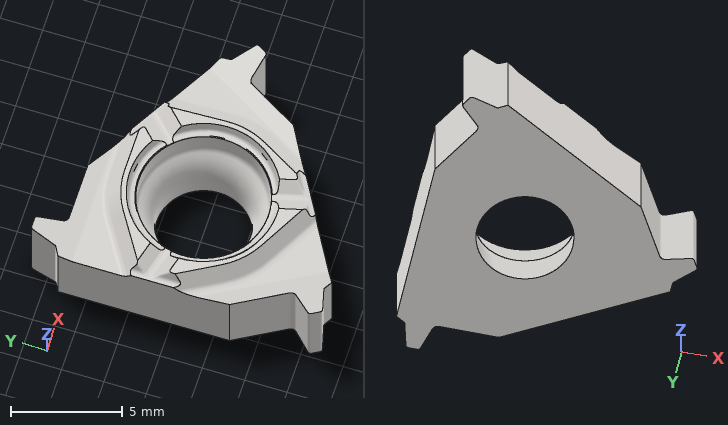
import cadquery as cq
import math

height = 4.2
arms = 3
arm_step = 360 / arms
face_distance = 4.74
body_reach = 8.25
side_angle = 30.0

tip_y = 6.88
tooth_x = -3.65
tip_half_width = 0.32
flank_angle = 15.0
shoulder_y = face_distance / math.cos(math.radians(side_angle))
relief_y = 5.36
relief_angle = 30.0
tip_radius = 0.15
root_radius = 0.27
relief_root_radius = 0.1

floor_z = 3.42
rake_angle = 15.0
rake_start = 4.71
rake_blend_radius = 0.48

island_radius = 3.72
island_slope = 50.0
island_foot_radius = 0.41
island_arc_angle = 32.0

ledge_z = 3.71
ledge_depth = 0.45
ledge_radius = 0.27
ledge_wall_angle = 65.0

groove_angle = 165.0
groove_bottom_z = 3.72
groove_offset = 0.1
groove_bottom_half_width = 0.15
groove_half_width = 0.74
groove_radius = 0.27
groove_mouth_radius = 0.14

bore_radius = 2.2
seat_start_z = 0.89
seat_angle = 49.0
well_radius = 3.05
well_blend_radius = 0.48
rim_z = 3.75
rim_wall_angle = 70.0
rim_fillet_radius = 0.22
rim_edge_radius = 0.04
rim_top_radius = 3.48


def turned(shape, angle):
    return shape.rotate((0, 0, 0), (0, 0, 1), angle)


def around(shape):
    """Three copies of a shape about the axis."""
    group = shape
    for i in range(1, arms):
        group = group.union(turned(shape, i * arm_step))
    return group


def arm_plate():
    """Full-height plate of one arm, from the axis to the tooth tip."""
    flank = math.tan(math.radians(flank_angle))
    relief = math.tan(math.radians(relief_angle))
    right_root_x = tooth_x + tip_half_width + flank * (tip_y - shoulder_y)
    left_tip_x = tooth_x - tip_half_width
    rise = tip_y - relief_y
    left_root_run = (left_tip_x - flank * rise + face_distance) / (1 - flank * relief)
    left_root = (-face_distance + left_root_run, relief_y + relief * left_root_run)
    tip_left = (left_tip_x, tip_y)
    tip_right = (tooth_x + tip_half_width, tip_y)
    right_root = (right_root_x, shoulder_y)
    neighbour = math.radians(90 + arm_step)
    lower_corner = (shoulder_y * math.cos(neighbour), shoulder_y * math.sin(neighbour))
    outline = [
        (0, 0), lower_corner, (-face_distance, relief_y), left_root,
        tip_left, tip_right, right_root, (0, shoulder_y),
    ]
    plate = cq.Workplane("XY").polyline(outline).close().extrude(height)
    for corner, radius in (
        (tip_left, tip_radius),
        (tip_right, tip_radius),
        (left_root, relief_root_radius),
        (right_root, root_radius),
    ):
        nearest = cq.selectors.NearestToPointSelector((*corner, height / 2))
        plate = plate.edges("|Z").edges(nearest).fillet(radius)
    return plate


def island_side_profile(plane):
    """Section of the space outside the island: slope, foot radius and floor."""
    slope = math.radians(island_slope)
    foot_corner = island_radius + (height - floor_z) / math.tan(slope)
    tangent = island_foot_radius * math.tan(slope / 2)
    slope_end = (
        foot_corner - tangent * math.cos(slope),
        floor_z + tangent * math.sin(slope),
    )
    foot_end = (foot_corner + tangent, floor_z)
    half = slope / 2
    foot_mid = (
        foot_end[0] - island_foot_radius * math.sin(half),
        floor_z + island_foot_radius * (1 - math.cos(half)),
    )
    return (
        cq.Workplane(plane)
        .moveTo(island_radius, height)
        .lineTo(*slope_end)
        .threePointArc(foot_mid, foot_end)
        .lineTo(body_reach, floor_z)
        .lineTo(body_reach, height)
        .close()
    )


def rake_block():
    """Material kept under the rake face of one arm."""
    rake = math.radians(rake_angle)
    tangent = rake_blend_radius * math.tan(rake / 2)
    blend_start = rake_start - tangent
    half = rake / 2
    blend_mid = (
        blend_start + rake_blend_radius * math.sin(half),
        floor_z + rake_blend_radius * (1 - math.cos(half)),
    )
    blend_end = (rake_start + tangent * math.cos(rake), floor_z + tangent * math.sin(rake))
    rake_end_z = floor_z + (body_reach - rake_start) * math.tan(rake)
    return (
        cq.Workplane("YZ")
        .moveTo(blend_start, floor_z)
        .threePointArc(blend_mid, blend_end)
        .lineTo(body_reach, rake_end_z)
        .lineTo(body_reach, 0)
        .lineTo(blend_start, 0)
        .close()
        .extrude(body_reach, both=True)
    )


def arm_relief():
    """Space removed above one arm, outside the island."""
    radial = cq.Plane(origin=(0, 0, 0), xDir=(0, 1, 0), normal=(1, 0, 0))
    straight = island_side_profile(radial).extrude(body_reach / 2)
    rounded = island_side_profile(radial).revolve(island_arc_angle, (0, 0, 0), (0, 1, 0))
    trailing = turned(island_side_profile(radial).extrude(-body_reach / 2), island_arc_angle)
    return straight.union(rounded).union(trailing).cut(rake_block())


def side_ledge():
    """Ledge along the -X side face, blended into a steep back wall."""
    wall = math.radians(ledge_wall_angle)
    top_x = -face_distance + ledge_depth
    corner_x = top_x - (height - ledge_z) / math.tan(wall)
    tangent = ledge_radius * math.tan(wall / 2)
    half = wall / 2
    start = (corner_x - tangent, ledge_z)
    middle = (
        start[0] + ledge_radius * math.sin(half),
        ledge_z + ledge_radius * (1 - math.cos(half)),
    )
    end = (corner_x + tangent * math.cos(wall), ledge_z + tangent * math.sin(wall))
    return (
        cq.Workplane("XZ")
        .moveTo(-body_reach, ledge_z)
        .lineTo(*start)
        .threePointArc(middle, end)
        .lineTo(top_x, height)
        .lineTo(-body_reach, height)
        .close()
        .extrude(island_radius, both=True)
    )


def radial_groove():
    """Groove from the bore out through the middle of one side of the island."""
    groove = (
        cq.Workplane("YZ")
        .polyline([
            (-groove_half_width, height),
            (-groove_bottom_half_width, groove_bottom_z),
            (groove_bottom_half_width, groove_bottom_z),
            (groove_half_width, height),
        ])
        .close()
        .extrude(body_reach)
        .translate((0, groove_offset, 0))
        .edges("|X and <Z")
        .fillet(groove_radius)
    )
    return turned(groove, groove_angle)


def screw_hole():
    """Revolved bore, curved seat, well and recessed rim."""
    angle = math.radians(seat_angle)
    blend_centre_x = well_radius - well_blend_radius
    seat_end_x = blend_centre_x + well_blend_radius * math.cos(angle)
    seat_radius = (seat_end_x - bore_radius) / (1 - math.cos(angle))
    seat_end_z = seat_start_z + seat_radius * math.sin(angle)
    seat_mid = (
        bore_radius + seat_radius * (1 - math.cos(angle / 2)),
        seat_start_z + seat_radius * math.sin(angle / 2),
    )
    well_bottom = seat_end_z + well_blend_radius * math.sin(angle)
    blend_mid = (
        blend_centre_x + well_blend_radius * math.cos(angle / 2),
        well_bottom - well_blend_radius * math.sin(angle / 2),
    )
    wall = math.radians(rim_wall_angle)
    rim_corner_x = rim_top_radius - (height - rim_z) / math.tan(wall)
    tangent = rim_fillet_radius * math.tan(wall / 2)
    rim_start = (rim_corner_x - tangent, rim_z)
    rim_mid = (
        rim_start[0] + rim_fillet_radius * math.sin(wall / 2),
        rim_z + rim_fillet_radius * (1 - math.cos(wall / 2)),
    )
    rim_end = (
        rim_corner_x + tangent * math.cos(wall),
        rim_z + tangent * math.sin(wall),
    )
    return (
        cq.Workplane("XZ")
        .moveTo(0, 0)
        .lineTo(bore_radius, 0)
        .lineTo(bore_radius, seat_start_z)
        .threePointArc(seat_mid, (seat_end_x, seat_end_z))
        .threePointArc(blend_mid, (well_radius, well_bottom))
        .lineTo(well_radius, rim_z - rim_edge_radius)
        .radiusArc((well_radius + rim_edge_radius, rim_z), rim_edge_radius)
        .lineTo(*rim_start)
        .threePointArc(rim_mid, rim_end)
        .lineTo(rim_top_radius, height)
        .lineTo(0, height)
        .close()
        .revolve(360, (0, 0, 0), (0, 1, 0))
    )


def round_groove_mouths(body):
    """Round the smooth edge chain where each groove opens onto its ledge."""
    direction = math.radians(groove_angle)
    wall = math.radians(ledge_wall_angle)
    share = 2 / 3
    edge_z = groove_bottom_z + share * (height - groove_bottom_z)
    edge_x = -face_distance + ledge_depth - (height - edge_z) / math.tan(wall)
    half_width = groove_bottom_half_width + share * (groove_half_width - groove_bottom_half_width)
    sideways = groove_offset - half_width
    along = (edge_x + sideways * math.sin(direction)) / math.cos(direction)
    edge_y = along * math.sin(direction) + sideways * math.cos(direction)
    for i in range(arms):
        marker = turned(cq.Vertex.makeVertex(edge_x, edge_y, edge_z), i * arm_step)
        nearest = cq.selectors.NearestToPointSelector(marker.toTuple())
        body = body.edges("%LINE").edges(nearest).fillet(groove_mouth_radius)
    return body


result = around(arm_plate())
for i in range(arms):
    for cutter in (arm_relief(), side_ledge(), radial_groove()):
        result = result.cut(turned(cutter, i * arm_step))
result = result.cut(screw_hole())
result = round_groove_mouths(result)